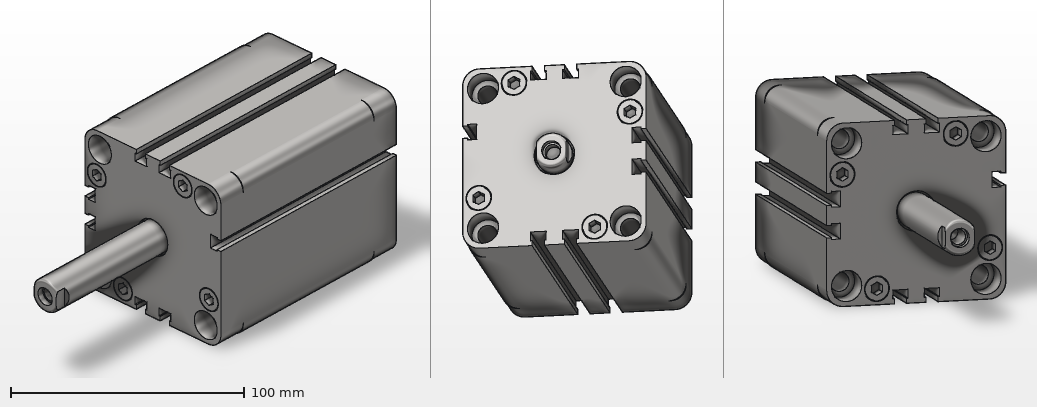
import cadquery as cq
import math


body_size = 80.0
body_length = 110.0
cap_length = 14.0
tube_length = body_length - 2 * cap_length
cap_corner_radius = 7.4
tube_corner_radius = 6.7

slot_mouth_width = 5.4
slot_inner_width = 6.8
slot_lip_depth = 2.2
slot_depth = 6.1
slot_pair_offset = 7.0
single_slot_height = 12.0

mount_offset = 31.0
mount_hole_diameter = 8.5
mount_bore_diameter = 13.5
mount_bore_depth = 11.1
mount_positions = [(x, z) for x in (-mount_offset, mount_offset) for z in (-mount_offset, mount_offset)]

screw_recess_diameter = 11.1
screw_head_diameter = 10.5
screw_gap_depth = 1.8
hex_across_flats = 5.0
hex_depth = 5.5
screw_near_offset = 17.5
screw_far_offset = 33.0
screw_positions = [
    (screw_near_offset, screw_far_offset),
    (screw_far_offset, -screw_near_offset),
    (-screw_near_offset, -screw_far_offset),
    (-screw_far_offset, screw_near_offset),
]

rod_diameter = 16.0
overall_length = 185.0
rear_stub = 7.4
front_reach = overall_length - body_length - rear_stub
tip_radius = 1.7
flat_spacing = 13.0
flat_length = 5.2
rod_gap_diameter = 17.5
rod_gap_depth = 1.8

thread_diameter = 6.7
entry_diameter = 8.3
entry_depth = 3.0
thread_depth = 14.8
drill_point_angle = 118.0


def at_depth(y):
    """Plane facing -Y at position y: local x is X, local y is Z."""
    return cq.Workplane("XZ", origin=(0, y, 0))


def cylinder(diameter, start, length, points=((0, 0),)):
    """Cylinders along +Y from start, one at each (x, z) point."""
    return at_depth(start).pushPoints(points).circle(diameter / 2).extrude(-length)


def ring(outer, inner, depth, points=((0, 0),)):
    """Annular grooves sunk into the front face."""
    return cylinder(outer, 0, depth, points).cut(cylinder(inner, 0, depth, points))


def mirrored_to_rear(solid, middle):
    """The solid together with its mirror image about the plane Y = middle."""
    return solid.union(solid.mirror("XZ", (0, middle, 0)))


def rounded_bar(corner_radius, start, length):
    bar = at_depth(start).rect(body_size, body_size).extrude(-length)
    return bar.edges("|Y").fillet(corner_radius)


def slot(offset, angle):
    """Undercut slot in the +Z side at X = offset, turned about Y by angle degrees."""
    top = body_size / 2
    inner_height = slot_depth - slot_lip_depth
    mouth = at_depth(0).center(offset, top - slot_depth / 2).rect(slot_mouth_width, slot_depth)
    inner_middle = top - slot_depth + inner_height / 2
    inner = at_depth(0).center(offset, inner_middle).rect(slot_inner_width, inner_height)
    cutter = mouth.extrude(-body_length).union(inner.extrude(-body_length))
    return cutter.rotate((0, 0, 0), (0, 1, 0), angle)


def hex_sockets():
    """Hexagon sockets of the cap screws, each with a corner pointing up."""
    hex_corner_diameter = hex_across_flats / math.cos(math.pi / 6)
    hexagon = at_depth(0).polygon(6, hex_corner_diameter).extrude(-hex_depth)
    upright_hexagon = hexagon.rotate((0, 0, 0), (0, 1, 0), 90)
    sockets = cq.Workplane("XZ")
    for x, z in screw_positions:
        sockets = sockets.add(upright_hexagon.translate((x, 0, z)))
    return sockets.combine()


def cap_cuts():
    """Everything sunk into the front cap: counterbores, screw details, rod gap."""
    holes = cylinder(mount_bore_diameter, 0, mount_bore_depth, mount_positions)
    holes = holes.union(cylinder(mount_hole_diameter, 0, body_length / 2, mount_positions))
    gaps = ring(screw_recess_diameter, screw_head_diameter, screw_gap_depth, screw_positions)
    rod_gap = ring(rod_gap_diameter, rod_diameter, rod_gap_depth)
    return holes.union(gaps).union(hex_sockets()).union(rod_gap)


def make_body():
    body = rounded_bar(tube_corner_radius, cap_length, tube_length)
    for start in (0, body_length - cap_length):
        body = body.union(rounded_bar(cap_corner_radius, start, cap_length))
    for angle in (0, 180, 270):
        for offset in (-slot_pair_offset, slot_pair_offset):
            body = body.cut(slot(offset, angle))
    body = body.cut(slot(-single_slot_height, 90))
    return body.cut(mirrored_to_rear(cap_cuts(), body_length / 2))


def rod_end_cuts():
    """Wrench flats with 45 degree run-outs and the stepped hole of the front end."""
    tip = -front_reach
    half_flat = flat_spacing / 2
    runout = rod_diameter / 2 - half_flat
    flat = (
        cq.Workplane("XY", origin=(0, tip, -rod_diameter))
        .moveTo(half_flat, 0)
        .lineTo(half_flat, flat_length)
        .lineTo(half_flat + 2 * runout, flat_length + 2 * runout)
        .lineTo(half_flat + 2 * runout, 0)
        .close()
        .extrude(2 * rod_diameter)
    )
    flats = flat.union(flat.mirror("YZ"))
    point_length = thread_diameter / 2 / math.tan(math.radians(drill_point_angle / 2))
    hole = (
        cq.Workplane("XY", origin=(0, tip, 0))
        .lineTo(entry_diameter / 2, 0)
        .lineTo(entry_diameter / 2, entry_depth)
        .lineTo(thread_diameter / 2, entry_depth)
        .lineTo(thread_diameter / 2, thread_depth)
        .lineTo(0, thread_depth + point_length)
        .close()
        .revolve(360, (0, 0, 0), (0, 1, 0))
    )
    return flats.union(hole)


def make_rod():
    rod = cylinder(rod_diameter, -front_reach, overall_length)
    rod = rod.faces("<Y or >Y").edges().fillet(tip_radius)
    return rod.cut(mirrored_to_rear(rod_end_cuts(), overall_length / 2 - front_reach))


result = make_body().union(make_rod())